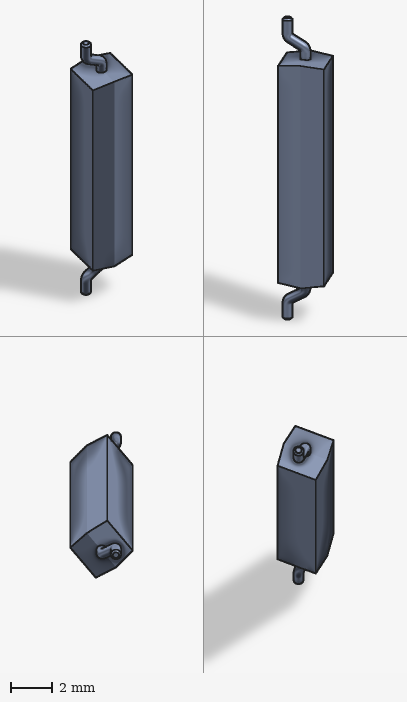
import cadquery as cq
import math

total_height = 15.6
body_width = 2.3
body_depth = 2.3

body_height = 11.51
draft_angle = 7.0

wire_diameter = 0.5
bend_radius = 0.31
bend_angle = 60.0
stub_length = 0.36
tip_chamfer = 0.1
lead_embed = 0.31

wire_offset = body_depth / 2 - wire_diameter / 2


def make_body():
    """Two mirrored halves, each tapering away from the XZ parting plane."""
    section = cq.Workplane("XZ").rect(body_width, body_height)
    half = section.extrude(body_depth / 2, taper=draft_angle)
    return half.union(half.mirror("XZ"))


def make_lead():
    """Upper lead: leaves the body along Z and jogs towards -Y."""
    angle = math.radians(bend_angle)
    bend_shift = bend_radius * (1 - math.cos(angle))
    bend_rise = bend_radius * math.sin(angle)
    slope_length = (wire_offset - 2 * bend_shift) / math.sin(angle)
    slope_rise = slope_length * math.cos(angle)

    start_z = body_height / 2 - lead_embed
    first_bend_z = body_height / 2 + stub_length
    slope_start_z = first_bend_z + bend_rise
    slope_end_z = slope_start_z + slope_rise
    tip_start_z = slope_end_z + bend_rise

    path = (
        cq.Workplane("YZ")
        .moveTo(0, start_z)
        .lineTo(0, first_bend_z)
        .tangentArcPoint((-bend_shift, slope_start_z), relative=False)
        .lineTo(bend_shift - wire_offset, slope_end_z)
        .tangentArcPoint((-wire_offset, tip_start_z), relative=False)
        .lineTo(-wire_offset, total_height / 2)
    )
    wire_section = cq.Workplane("XY").workplane(offset=start_z).circle(wire_diameter / 2)
    lead = wire_section.sweep(path)
    return lead.faces(">Z").chamfer(tip_chamfer)


upper_lead = make_lead()
lower_lead = upper_lead.mirror("XY")
result = make_body().union(upper_lead).union(lower_lead)